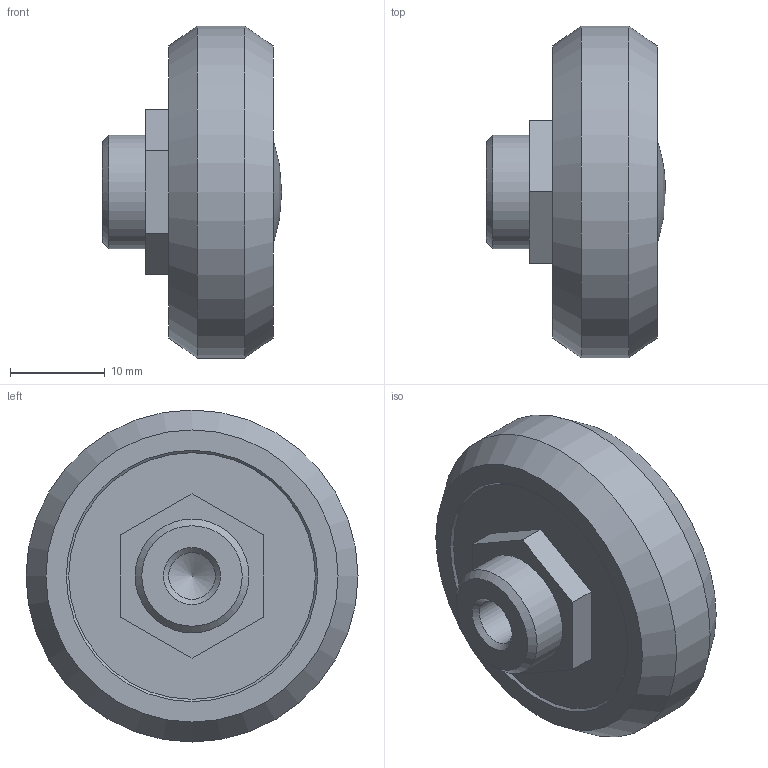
import cadquery as cq
import math


wheel_diameter = 35.0
wheel_width = 11.0
tread_width = 5.0
bevel_angle = 35.0
bevel_width = (wheel_width - tread_width) / 2
bevel_height = bevel_width * math.tan(math.radians(bevel_angle))

recess_rim_diameter = 26.5
recess_floor_diameter = 26.0
recess_depth = (recess_rim_diameter - recess_floor_diameter) / 2

hex_across_flats = 15.0
hex_height = 2.5
boss_diameter = 12.0
boss_length = 4.5
boss_chamfer = 0.7
boss_end_x = -(hex_height + boss_length)

hole_diameter = 4.92
countersink_diameter = 6.0
hole_depth = 12.0
drill_tip_angle = 118.0

dome_diameter = 11.1
dome_height = 0.9


def revolve_about_x(profile):
    """Turn a closed half profile, drawn as (x, radius), about the X axis."""
    return profile.close().revolve(360, (0, 0, 0), (1, 0, 0))


def make_wheel():
    tread_radius = wheel_diameter / 2
    side_radius = tread_radius - bevel_height
    profile = (
        cq.Workplane("XY")
        .lineTo(0, side_radius)
        .lineTo(bevel_width, tread_radius)
        .lineTo(bevel_width + tread_width, tread_radius)
        .lineTo(wheel_width, side_radius)
        .lineTo(wheel_width, 0)
    )
    return revolve_about_x(profile)


def make_recess():
    profile = (
        cq.Workplane("XY")
        .lineTo(0, recess_rim_diameter / 2)
        .lineTo(recess_depth, recess_floor_diameter / 2)
        .lineTo(recess_depth, 0)
    )
    return revolve_about_x(profile)


def make_hexagon():
    """Hexagon with flats facing +Y and -Y, standing on the recess floor."""
    across_corners = hex_across_flats / math.cos(math.pi / 6)
    return (
        cq.Workplane("YZ", origin=(-hex_height, 0, 0))
        .transformed(rotate=(0, 0, 90))
        .polygon(6, across_corners)
        .extrude(hex_height + recess_depth)
    )


def make_boss():
    return (
        cq.Workplane("YZ", origin=(boss_end_x, 0, 0))
        .circle(boss_diameter / 2)
        .extrude(boss_length)
        .faces("<X")
        .chamfer(boss_chamfer)
    )


def make_dome():
    """Spherical cap on the right side face."""
    rim_radius = dome_diameter / 2
    sphere_radius = (rim_radius**2 + dome_height**2) / (2 * dome_height)
    half_angle = math.asin(rim_radius / sphere_radius) / 2
    center_x = wheel_width + dome_height - sphere_radius
    arc_middle = (
        center_x + sphere_radius * math.cos(half_angle),
        sphere_radius * math.sin(half_angle),
    )
    profile = (
        cq.Workplane("XY")
        .moveTo(wheel_width, 0)
        .lineTo(wheel_width, rim_radius)
        .threePointArc(arc_middle, (wheel_width + dome_height, 0))
    )
    return revolve_about_x(profile)


def make_hole():
    """Countersunk hole with a conical drill tip."""
    hole_radius = hole_diameter / 2
    countersink_radius = countersink_diameter / 2
    countersink_depth = countersink_radius - hole_radius
    tip_length = hole_radius / math.tan(math.radians(drill_tip_angle / 2))
    hole_end_x = boss_end_x + hole_depth
    profile = (
        cq.Workplane("XY")
        .moveTo(boss_end_x, 0)
        .lineTo(boss_end_x, countersink_radius)
        .lineTo(boss_end_x + countersink_depth, hole_radius)
        .lineTo(hole_end_x, hole_radius)
        .lineTo(hole_end_x + tip_length, 0)
    )
    return revolve_about_x(profile)


result = (
    make_wheel()
    .cut(make_recess())
    .union(make_hexagon())
    .union(make_boss())
    .union(make_dome())
    .cut(make_hole())
)